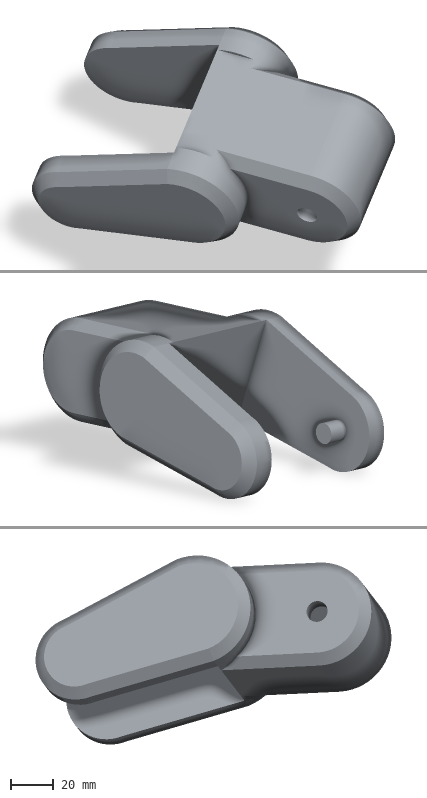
import cadquery as cq
import math

overall_length = 157.0
overall_width = 96.0
bend_angle = 20.0
chamfer = 5.0

body_height = 49.9
body_width = 60.0
body_radius = body_height / 2

arm_thickness = 15.0
arm_length = 59.6
tip_radius = 20.1

pin_diameter = 10.0
pin_length = 10.0
hole_depth = 10.0

slope = math.radians(bend_angle)
hub_radius = body_radius / math.cos(slope)
tip_x = -arm_length * math.cos(slope)
tip_z = -arm_length * math.sin(slope)
hole_x = overall_length + tip_x - tip_radius - body_radius
outer_y = overall_width / 2
arm_inner_y = outer_y - arm_thickness
body_side_y = body_width / 2


def arm_point(along, across):
    """XZ point at a distance along the arm axis and across it, from the hub centre."""
    x = -along * math.cos(slope) - across * math.sin(slope)
    z = -along * math.sin(slope) + across * math.cos(slope)
    return (x, z)


def side_sketch(y):
    """XZ sketch plane at the given Y; extrusion goes toward -Y."""
    return cq.Workplane("XZ", origin=(0, y, 0))


hub_top = arm_point(0, hub_radius)
hub_bottom = arm_point(0, -hub_radius)
hub_nose = arm_point(-hub_radius, 0)


def make_arm():
    """Tapered arm on the -Y side, chamfered around its outer face."""
    outline = (
        side_sketch(-arm_inner_y)
        .moveTo(*hub_top)
        .threePointArc(hub_nose, hub_bottom)
        .lineTo(*arm_point(arm_length, -tip_radius))
        .threePointArc(arm_point(arm_length + tip_radius, 0), arm_point(arm_length, tip_radius))
        .close()
    )
    return outline.extrude(arm_thickness).faces("<Y").chamfer(chamfer)


def make_hub():
    """Half disc on the nose side of the hub, filling the width between the arms."""
    return (
        side_sketch(arm_inner_y)
        .moveTo(*hub_top)
        .threePointArc(hub_nose, hub_bottom)
        .close()
        .extrude(2 * arm_inner_y)
    )


def make_body():
    """Body with a slanted rear face and a round front end."""
    return (
        side_sketch(body_side_y)
        .moveTo(*hub_top)
        .lineTo(hole_x, body_radius)
        .threePointArc((hole_x + body_radius, 0), (hole_x, -body_radius))
        .lineTo(*hub_bottom)
        .close()
        .extrude(body_width)
    )


def chamfer_body(body):
    """Chamfer both sides along the straight edges and the round end, not the rear face."""
    rear_edges = cq.selectors.ParallelDirSelector(cq.Vector(hub_bottom[0], 0, hub_bottom[1]))
    return body.faces("<Y or >Y").edges(cq.selectors.InverseSelector(rear_edges)).chamfer(chamfer)


plain_body = make_body()
hub = make_hub()
arm = make_arm()

hub_core = hub.intersect(plain_body)
hub_discs = hub.cut(side_sketch(body_side_y).circle(2 * hub_radius).extrude(body_width))

hole = (
    side_sketch(-body_side_y + hole_depth)
    .center(hole_x, 0)
    .circle(pin_diameter / 2)
    .extrude(hole_depth)
)
pin = (
    side_sketch(-arm_inner_y + pin_length)
    .center(tip_x, tip_z)
    .circle(pin_diameter / 2)
    .extrude(pin_length)
)

result = (
    chamfer_body(plain_body)
    .cut(hole)
    .union(hub_core)
    .union(hub_discs)
    .union(arm)
    .union(arm.mirror("XZ"))
    .union(pin)
)